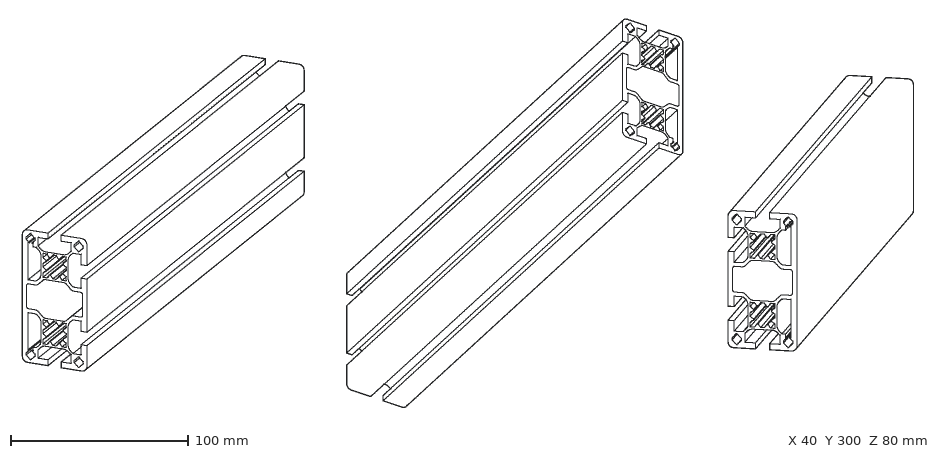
import cadquery as cq

length = 300.0
width = 40.0
height = 80.0
outer_radius = 3.3

wall = 3.5
slot_opening = 8.0
slot_half_width = 10.2
floor_distance = 8.5
web_thickness = 1.5
floor_blend_radius = 4.5
shoulder_blend_radius = 3.0

cavity_wall = 2.7
cavity_half_height = 7.5
cavity_flank_shift = 1.8
cavity_corner_radius = 1.2
cavity_shoulder_radius = 2.5
cavity_floor_radius = 3.0

core_half_width = 7.2
tooth_offset = 2.85
tooth_base_width = 3.5
tooth_tip_width = 0.5
tooth_depth = 2.0

diamond_half_diagonal = 3.3
diamond_half_width = 2.7
diamond_inset = 5.0
slit_width = 3.0

half_width = width / 2
half_height = height / 2
core_distance = half_height - half_width
chamber_depth = half_width - wall
web_shift = web_thickness / 2**0.5
shoulder_distance = slot_half_width + web_shift
floor_half_width = floor_distance - web_shift


def section():
    """Sketch plane of the cross-section at the rear end: local x is X and local y is Z."""
    return cq.Workplane("XZ", origin=(0, length / 2, 0))


def prism(points):
    """Full-length prism over a closed outline."""
    return section().polyline(points).close().extrude(length)


def turned(body, angle):
    """Body turned about the Y axis; a positive angle turns the top towards -X."""
    return body.rotate((0, 0, 0), (0, 1, 0), -angle)


def blend_edge(body, x, z, radius):
    """Fillet the lengthwise edge at the given place of the cross-section."""
    return body.edges(cq.selectors.NearestToPointSelector((x, 0, z))).fillet(radius)


def chamber():
    """Closed chamber above a core, its lower corners cut at 45 degrees."""
    body = prism([
        (-floor_half_width, floor_distance),
        (floor_half_width, floor_distance),
        (slot_half_width, shoulder_distance),
        (slot_half_width, chamber_depth),
        (-slot_half_width, chamber_depth),
        (-slot_half_width, shoulder_distance),
    ])
    for edge_x in (-floor_half_width, floor_half_width):
        body = blend_edge(body, edge_x, floor_distance, floor_blend_radius)
    return body


def side_chamber():
    """Chamber on the +X side of a core, with the shoulder next to the central cavity rounded."""
    return blend_edge(turned(chamber(), -90), shoulder_distance, -slot_half_width, shoulder_blend_radius)


def slot_mouth():
    """Straight opening from a chamber out through the wall above it."""
    mouth_height = half_width - shoulder_distance
    mouth_center = shoulder_distance + mouth_height / 2
    return section().center(0, mouth_center).rect(slot_opening, mouth_height).extrude(length)


def core_bore():
    """Square bore with two blunt teeth on each of its four sides."""
    bore = section().rect(2 * core_half_width, 2 * core_half_width).extrude(length)
    tip_height = core_half_width - tooth_depth
    for center in (-tooth_offset, tooth_offset):
        tooth = prism([
            (center - tooth_base_width / 2, core_half_width),
            (center + tooth_base_width / 2, core_half_width),
            (center + tooth_tip_width / 2, tip_height),
            (center - tooth_tip_width / 2, tip_height),
        ])
        for angle in (0, 90, 180, 270):
            bore = bore.cut(turned(tooth, angle))
    return bore


def central_cavity():
    """Wide cavity between the cores, bulging towards both of them with 45 degree flanks."""
    wall_x = half_width - cavity_wall
    corner = (wall_x, cavity_half_height)
    shoulder = (core_distance - cavity_half_height - cavity_flank_shift, cavity_half_height)
    floor_end = (floor_distance - cavity_flank_shift, core_distance - floor_distance)
    right_side = [corner, shoulder, floor_end]
    left_side = [(-x, z) for x, z in reversed(right_side)]
    upper_side = right_side + left_side
    lower_side = [(-x, -z) for x, z in upper_side]
    cavity = prism(upper_side + lower_side)
    radii = (cavity_corner_radius, cavity_shoulder_radius, cavity_floor_radius)
    for (x, z), radius in zip(right_side, radii):
        for side_x in (-x, x):
            for side_z in (-z, z):
                cavity = blend_edge(cavity, side_x, side_z, radius)
    return cavity


def diamond_bores():
    """Diamond bores in the two upper corners, the left one with a slit down into the side chamber."""
    bore_x = half_width - diamond_inset
    bore_z = half_height - diamond_inset
    flank_start = diamond_half_diagonal - diamond_half_width
    bore = prism([
        (0, diamond_half_diagonal),
        (diamond_half_width, flank_start),
        (diamond_half_width, -flank_start),
        (0, -diamond_half_diagonal),
        (-diamond_half_width, -flank_start),
        (-diamond_half_width, flank_start),
    ])
    slit_top = bore_z - diamond_half_diagonal + slit_width / 4
    slit_height = slit_top - core_distance - slot_half_width
    slit = section().center(-bore_x, slit_top - slit_height / 2).rect(slit_width, slit_height).extrude(length)
    left_bore = bore.translate((-bore_x, 0, bore_z)).union(slit)
    return left_bore.union(bore.translate((bore_x, 0, bore_z)))


def upper_half_cuts():
    """Everything removed around the upper core, with its T-slots facing up and towards +X."""
    around_core = [
        core_bore(),
        chamber().union(slot_mouth()),
        side_chamber().union(turned(slot_mouth(), -90)),
        side_chamber().mirror("YZ"),
    ]
    cuts = [body.translate((0, 0, core_distance)) for body in around_core]
    return cuts + [diamond_bores()]


result = section().rect(width, height).extrude(length).edges("|Y").fillet(outer_radius)
result = result.cut(central_cavity())
for cutter in upper_half_cuts():
    result = result.cut(cutter).cut(cutter.mirror("XY"))